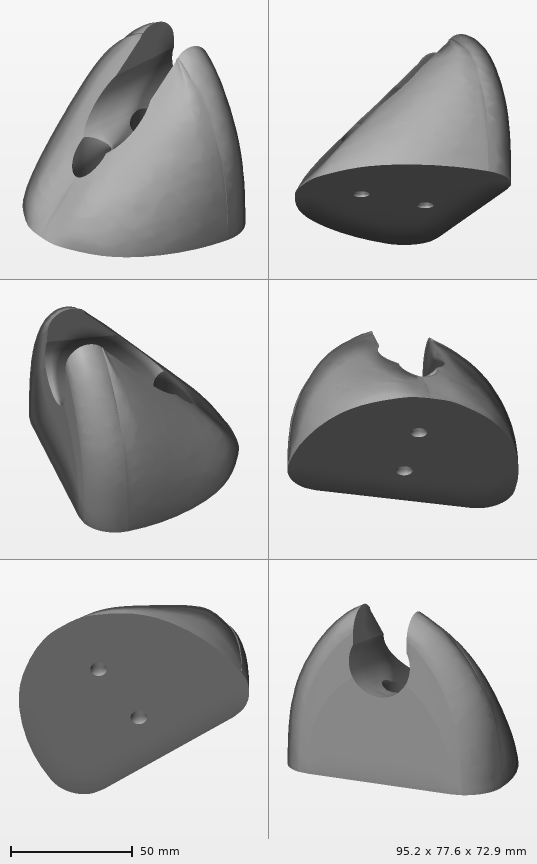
import cadquery as cq
import math

half_width = 47.6
nose_length = 61.2
back_depth = 16.4

nose_levels = [
    (0, half_width, nose_length, 0),
    (16.8, 46.5, 49.9, 2.4),
    (30.7, 43.8, 37.1, 1.4),
    (46.3, 37.6, 22.6, 0.5),
    (57.1, 30.0, 12.6, 0),
    (64.2, 21.9, 5.9, 0),
    (69.9, 12.1, 0.8, 0),
]

nose_angles = (30, 55, 75)

crest_radius = 8.85
crest_y = 6.8
crest_z = 64.1
crest_steps = 6
peak_rise = 3.5
back_half_width = 32.35
back_height = 48.5
haunch_x, haunch_z = 0.842, 0.566
crown_x, crown_z = 0.256, 0.955

channel_radius = 13.9
channel_tilt = 7.0
channel_y = -21.1
channel_z = 46.8
slot_width = 24.4
cut_length = 190.3

hole_places = [(0, -5.4), (0, -34.8)]
hole_diameter = 6.85
counterbore_diameter = 16.2
counterbore_floor = 9.5


def quarter_section(outline, tangents, corner):
    """Closed wire: a spline outline joined to the corner by two straight edges."""
    edge = cq.Edge.makeSpline(outline, tangents=tangents)
    closing = [cq.Edge.makeLine(outline[-1], corner), cq.Edge.makeLine(corner, outline[0])]
    return cq.Wire.assembleEdges([edge] + closing)


def nose_section(z, width, reach, crease):
    """Right half of the nose at height z: a quarter ellipse dipping at the center crease."""
    outline = [cq.Vector(width, 0, z)]
    for degrees in nose_angles:
        angle = math.radians(degrees)
        outline.append(cq.Vector(width * math.cos(angle), -reach * math.sin(angle), z))
    outline.append(cq.Vector(0, crease - reach, z))
    tangents = [cq.Vector(0, -1, 0), cq.Vector(-width, crease, 0)]
    return quarter_section(outline, tangents, cq.Vector(0, 0, z))


def arch_section(y, width, height):
    """Right half of an upright arch standing on the base at depth y."""
    fractions = [(1, 0), (haunch_x, haunch_z), (crown_x, crown_z), (0, 1)]
    outline = [cq.Vector(x * width, y, z * height) for x, z in fractions]
    tangents = [cq.Vector(0, 0, 1), outline[-1] - outline[-2]]
    return quarter_section(outline, tangents, cq.Vector(0, y, 0))


def rear_arch(angle):
    """Arch whose crest lies at the given angle on the crest roll."""
    y = crest_y + crest_radius * math.cos(angle)
    crest = crest_z + crest_radius * math.sin(angle)
    corner = math.sqrt(1 - (y / back_depth) ** 2)
    width = back_half_width + (half_width - back_half_width) * corner
    return arch_section(y, width, crest + peak_rise)


nose = cq.Solid.makeLoft([nose_section(*level) for level in nose_levels])

start_angle = math.pi - math.acos(crest_y / crest_radius)
rear_arches = [rear_arch(start_angle * (1 - i / crest_steps)) for i in range(crest_steps + 1)]
back_arch = arch_section(back_depth, back_half_width, back_height)
roll = cq.Solid.makeLoft(rear_arches)
back = cq.Solid.makeLoft([rear_arches[-1], back_arch], True)
half_body = cq.Workplane(nose).union(cq.Workplane(roll)).union(cq.Workplane(back))
body = half_body.union(half_body.mirror("YZ"))

tilt = math.radians(channel_tilt)
axis = cq.Vector(0, math.cos(tilt), math.sin(tilt))
channel_start = cq.Vector(0, channel_y, channel_z) - axis * (cut_length / 2)
channel = cq.Solid.makeCylinder(channel_radius, cut_length, channel_start, axis)
slot = (
    cq.Workplane("XY")
    .box(slot_width, cut_length, cut_length, centered=(True, True, False))
    .rotate((0, 0, 0), (1, 0, 0), channel_tilt)
    .translate((0, channel_y, channel_z))
)

holes = cq.Workplane("XY").pushPoints(hole_places).circle(hole_diameter / 2).extrude(cut_length)
counterbores = (
    cq.Workplane("XY", origin=(0, 0, counterbore_floor))
    .pushPoints(hole_places)
    .circle(counterbore_diameter / 2)
    .extrude(cut_length)
)

result = body.cut(cq.Workplane(channel)).cut(slot).cut(holes).cut(counterbores)